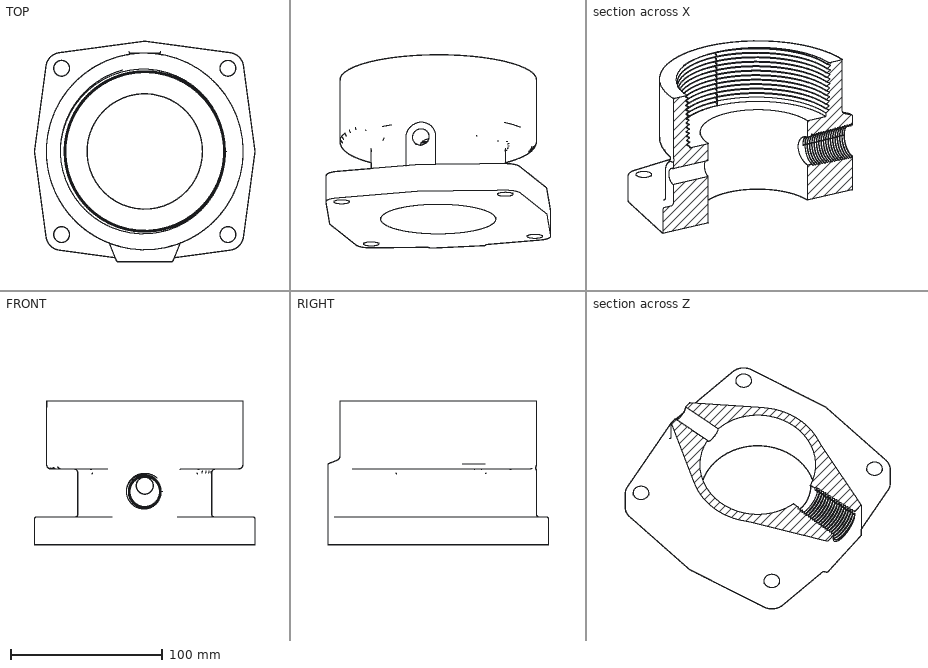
import cadquery as cq
import math

flange_span = 146.05
flange_thickness = 18.6
flange_side_angle = 7.7
flange_corner_radius = 10.3
hole_offset = 55.0
hole_diameter = 10.3
flange_blend_radius = 1.4

height = 95.25
cup_radius = 65.1
cup_bottom = 50.2
cup_edge_radius = 3.2
neck_radius = 44.45
bore_radius = 38.1
cup_blend_radius = 2.5

socket_mouth_radius = 53.4
socket_pitch = 25.4 / 8
socket_turns = 12

port_axis_height = 35.2
port_half_angle = 22.0
port_face = flange_span / 2
port_face_edge_radius = 1.2
port_mouth_radius = 10.9
port_pitch = 25.4 / 14
port_turns = 18

vent_axis_height = 39.2
vent_half_angle = 33.7
vent_stock = 1.4
vent_diameter = 11.1

thread_taper = 1 / 32
thread_flank_angle = 30.0
thread_crest_flat = 0.1
thread_overlap = 0.1
bore_seam_angle = 50.0


def vertical_cylinder(radius, bottom, top):
    return cq.Workplane("XY").workplane(offset=bottom).circle(radius).extrude(top - bottom)


def flange():
    """Square plate whose sides come to a blunt point halfway, with rounded corners."""
    tip = flange_span / 2
    corner = tip / (1 + math.tan(math.radians(flange_side_angle)))
    outline = [
        (tip, 0), (corner, corner), (0, tip), (-corner, corner),
        (-tip, 0), (-corner, -corner), (0, -tip), (corner, -corner),
    ]
    plate = cq.Workplane("XY").polyline(outline).close().extrude(flange_thickness)
    corner_edges = plate.edges("|Z").filter(lambda edge: min(abs(edge.Center().x), abs(edge.Center().y)) > tip / 2)
    return corner_edges.fillet(flange_corner_radius)


def cup():
    return vertical_cylinder(cup_radius, cup_bottom, height).faces("<Z").edges().fillet(cup_edge_radius)


def tapered_boss(half_angle, axis_height, face):
    """Boss toward -Y: round top and flat sides, narrowing away from the neck and tangent to it."""
    slope = math.tan(math.radians(half_angle))
    tangent_y = neck_radius * math.sin(math.radians(half_angle))
    root_radius = neck_radius * math.cos(math.radians(half_angle))
    tip_radius = root_radius - (face - tangent_y) * slope
    crown = cq.Workplane(
        cq.Solid.makeCone(
            root_radius, tip_radius, face - tangent_y, cq.Vector(0, -tangent_y, axis_height), cq.Vector(0, -1, 0)
        )
    )
    above_axis = cq.Workplane("XY").workplane(offset=axis_height).rect(4 * face, 4 * face).extrude(height)
    wedge = (
        cq.Workplane("XY")
        .polyline([
            (-root_radius, -tangent_y), (-tip_radius, -face), (tip_radius, -face), (root_radius, -tangent_y), (0, 0),
        ])
        .close()
        .extrude(axis_height)
    )
    return wedge.union(crown.intersect(above_axis))


def upper_body():
    """Cup, neck and both bosses, blended under the cup, with the vent face trimmed flush with the cup."""
    port = tapered_boss(port_half_angle, port_axis_height, port_face)
    port = port.faces("<Y").edges("not <Z").fillet(port_face_edge_radius)
    vent = tapered_boss(vent_half_angle, vent_axis_height, cup_radius + vent_stock).rotate((0, 0, 0), (0, 0, 1), 180)
    neck = vertical_cylinder(neck_radius, 0, cup_bottom + cup_edge_radius)
    body = neck.union(port).union(vent).union(cup())

    def under_cup(edge):
        if edge.geomType() == "CIRCLE":
            return abs(edge.radius() - neck_radius) < 0.01 and edge.Center().z > cup_bottom - 0.01
        return edge.geomType() in ("HYPERBOLA", "BSPLINE") and edge.Center().z > cup_bottom - 0.01

    body = body.edges().filter(under_cup).fillet(cup_blend_radius)
    trim = cq.Workplane("XY").box(
        2 * neck_radius, neck_radius, height, centered=(True, False, False)
    ).translate((0, cup_radius, 0))
    return body.cut(trim)


def body_on_flange():
    """Join the body to the flange; one radius rounds the flange rim and blends the body into it."""
    body = upper_body().union(flange())

    def flange_blend(edge):
        box = edge.BoundingBox()
        on_top = box.zmin > flange_thickness - 0.01 and box.zmax < flange_thickness + 0.01
        upright = box.zmin < 0.01 and abs(box.zmax - flange_thickness) < 0.01
        beside_port = upright and box.ymax < -flange_span / 2 + flange_span / 20 and abs(box.xmax) > 1
        return on_top or beside_port

    return body.edges().filter(flange_blend).fillet(flange_blend_radius)


def cut_thread(part, plane, mouth_radius, pitch, turns, bore_depth):
    """Cut a tapered bore into the plane's -Z side and a helical V groove running out at its mouth.

    The groove is cut one turn at a time from the inner end; at the mouth its root lies on the -X side.
    """
    end_radius = mouth_radius - bore_depth * thread_taper
    bore = cq.Solid.makeCone(mouth_radius, end_radius, bore_depth, cq.Vector(0, 0, 0), cq.Vector(0, 0, -1))
    part = part.cut(cq.Workplane(bore.rotate(cq.Vector(), cq.Vector(0, 0, 1), bore_seam_angle).moved(plane.location)))
    half_width = pitch / 2 - thread_crest_flat
    groove_depth = half_width / math.tan(math.radians(thread_flank_angle))
    taper_angle = math.degrees(math.atan(thread_taper))
    for turn in range(turns):
        start_z = (turn + 0.5 - turns) * pitch
        start_radius = mouth_radius + start_z * thread_taper
        inner = start_radius - thread_overlap
        helix = cq.Wire.makeHelix(pitch, pitch, start_radius, cq.Vector(0, 0, start_z), angle=taper_angle)
        groove = (
            cq.Workplane("XZ")
            .polyline([(inner, start_z - half_width), (inner + groove_depth, start_z), (inner, start_z + half_width)])
            .close()
            .sweep(cq.Workplane(helix), isFrenet=True)
        )
        part = part.cut(cq.Workplane(groove.val().moved(plane.location)))
    return part


def cut_socket(part):
    plane = cq.Plane((0, 0, height))
    return cut_thread(part, plane, socket_mouth_radius, socket_pitch, socket_turns, socket_turns * socket_pitch)


def cut_port(part):
    plane = cq.Plane((0, -port_face, port_axis_height), xDir=(1, 0, 0), normal=(0, -1, 0))
    return cut_thread(part, plane, port_mouth_radius, port_pitch, port_turns, port_face - bore_radius / 2)


def cut_vent(part):
    return part.cut(cq.Workplane("XZ").center(0, vent_axis_height).circle(vent_diameter / 2).extrude(-flange_span))


def cut_mounting_holes(part):
    holes = (
        cq.Workplane("XY")
        .rect(2 * hole_offset, 2 * hole_offset, forConstruction=True)
        .vertices()
        .circle(hole_diameter / 2)
        .extrude(flange_thickness)
    )
    return part.cut(holes)


result = body_on_flange().cut(vertical_cylinder(bore_radius, 0, height))
result = cut_mounting_holes(cut_vent(result))
result = cut_port(cut_socket(result))